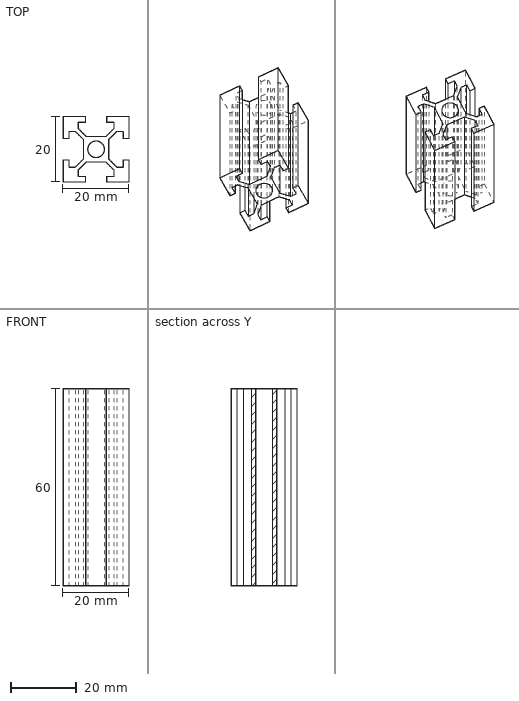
import cadquery as cq

length = 60.0
side = 60.0 / 3
lip_thickness = 1.8
mouth_width = 6.4
slot_width = 10.8
slot_floor_width = 6.0
core_width = 7.8
bore_diameter = 5.0

outer_face = side / 2
lip_back = outer_face - lip_thickness
core_face = core_width / 2
slot_taper = (slot_width - slot_floor_width) / 2
taper_start = core_face + slot_taper


def t_slot():
    """T-slot in the +X face, running the full length."""
    upper_half = [
        (outer_face, mouth_width / 2),
        (lip_back, mouth_width / 2),
        (lip_back, slot_width / 2),
        (taper_start, slot_width / 2),
        (core_face, slot_floor_width / 2),
    ]
    lower_half = [(x, -y) for x, y in reversed(upper_half)]
    return cq.Workplane("XY").polyline(upper_half + lower_half).close().extrude(length)


result = cq.Workplane("XY").rect(side, side).circle(bore_diameter / 2).extrude(length)

for angle in (0, 90, 180, 270):
    result = result.cut(t_slot().rotate((0, 0, 0), (0, 0, 1), angle))